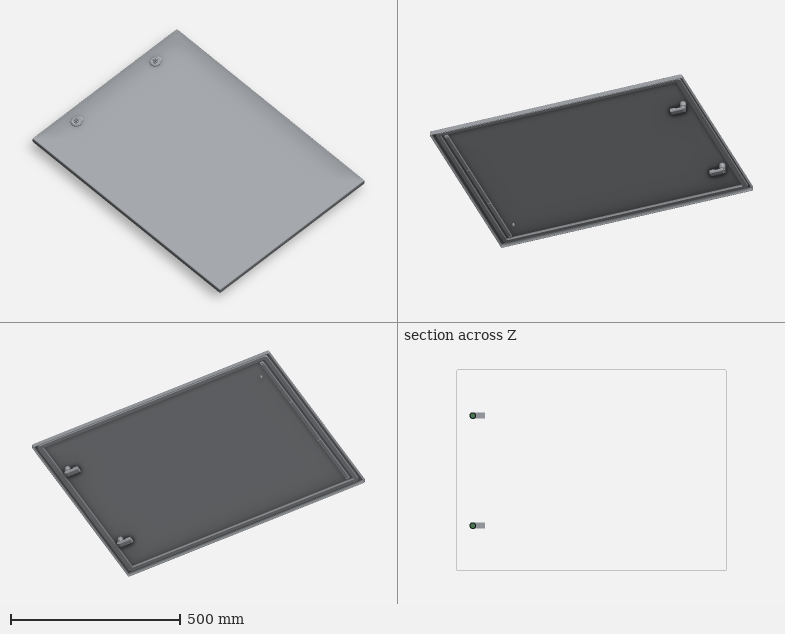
import cadquery as cq
import math

DOOR_LENGTH = 796.5
DOOR_WIDTH = 595.0
DOOR_HEIGHT = 15.0
SHEET = 1.4
BEND_RADIUS = 2.95

GASKET_OUTER_INSET = 10.0
GASKET_HINGE_OUTER_INSET = 13.5
GASKET_INNER_INSET_X = 25.5
GASKET_INNER_INSET_Y = 22.0
GASKET_CORNER_RADIUS = 9.5
GASKET_DEPTH = 8.0

RAIL_INSET = 35.0
RAIL_BAND = 10.0
RAIL_LENGTH = 534.0
RAIL_SLIT_PLACES = (-262.0, -87.0, 87.0, 262.0)
RAIL_SLIT_WIDTH = 1.5
RAIL_DEPTH = 8.0

STUD_X = 329.0
STUD_Y = -215.0
STUD_DIAMETER = 5.8
STUD_LENGTH = 9.5

LOCK_X = -351.0
LOCK_SPACING = 325.0
OVERALL_HEIGHT = 36.0
LOCK_RISE = 5.5

PLATE_DIAMETER = 33.0
PLATE_TIP_DIAMETER = 19.0
PLATE_TIP_REACH = 24.0
PLATE_THICKNESS = 3.0
BOSS_TOP_DIAMETER = 27.0

SEAT_DIAMETER = 19.0
SEAT_DEPTH = 1.5
WELL_DIAMETER = 14.0
WELL_DEPTH = 6.0
CORE_DIAMETER = 9.5
CORE_BORE_DIAMETER = 5.0

BARREL_DIAMETER = 18.0
BARREL_DROP = 11.0
GROOVE_DIAMETER = 16.0
GROOVE_PITCH = 2.8
GROOVE_COUNT = 3

ARM_WIDTH = 17.5
ARM_START = -6.0
ARM_REACH = 37.5
ARM_THICKNESS = 8.0
ARM_CHAMFER = 2.0
ARM_END_CHAMFER = 5.5
HOOK_LENGTH = 16.0
HOOK_RISE = 3.0

SHEET_UNDERSIDE = DOOR_HEIGHT - SHEET
LOCK_TOP = DOOR_HEIGHT + LOCK_RISE
ARM_BOTTOM = LOCK_TOP - OVERALL_HEIGHT


def cylinder(diameter, bottom, top):
    return cq.Workplane("XY").workplane(offset=bottom).circle(diameter / 2).extrude(top - bottom)


def block(x_min, x_max, width, bottom, top):
    """Box centred on Y = 0."""
    return cq.Workplane("XY").box(
        x_max - x_min, width, top - bottom, centered=(False, True, False)
    ).translate((x_min, 0, bottom))


def make_pan():
    outer = cq.Workplane("XY").box(DOOR_LENGTH, DOOR_WIDTH, DOOR_HEIGHT, centered=(True, True, False))
    outer = outer.edges("|Z or >Z").fillet(BEND_RADIUS)
    inner = cq.Workplane("XY").box(
        DOOR_LENGTH - 2 * SHEET, DOOR_WIDTH - 2 * SHEET, SHEET_UNDERSIDE, centered=(True, True, False)
    )
    inner = inner.edges("|Z or >Z").fillet(BEND_RADIUS - SHEET)
    return outer.cut(inner)


def make_rail():
    right = DOOR_LENGTH / 2 - RAIL_INSET
    left = right - RAIL_BAND
    bottom = SHEET_UNDERSIDE - RAIL_DEPTH
    rail = block(left, right, RAIL_LENGTH, bottom, SHEET_UNDERSIDE)
    slit = block(left, right, RAIL_SLIT_WIDTH, bottom, SHEET_UNDERSIDE)
    for place in RAIL_SLIT_PLACES:
        rail = rail.cut(slit.translate((0, place, 0)))
    return rail


def make_gasket():
    left = -DOOR_LENGTH / 2 + GASKET_OUTER_INSET
    right = DOOR_LENGTH / 2 - GASKET_HINGE_OUTER_INSET
    width = DOOR_WIDTH - 2 * GASKET_OUTER_INSET
    bottom = SHEET_UNDERSIDE - GASKET_DEPTH
    outer = block(left, right, width, bottom, SHEET_UNDERSIDE).edges("|Z").fillet(GASKET_CORNER_RADIUS)
    opening_end = DOOR_LENGTH / 2 - GASKET_INNER_INSET_X
    opening_width = DOOR_WIDTH - 2 * GASKET_INNER_INSET_Y
    return outer.cut(block(-opening_end, opening_end, opening_width, bottom, SHEET_UNDERSIDE))


def make_lock_plate():
    plate_top = DOOR_HEIGHT + PLATE_THICKNESS
    plate_radius = PLATE_DIAMETER / 2
    tip_radius = PLATE_TIP_DIAMETER / 2
    tip_y = PLATE_TIP_REACH - tip_radius
    rise = (plate_radius - tip_radius) / tip_y
    run = math.sqrt(1 - rise**2)
    plate = (
        cq.Workplane("XY")
        .workplane(offset=SHEET_UNDERSIDE)
        .moveTo(-plate_radius * run, plate_radius * rise)
        .threePointArc((0, -plate_radius), (plate_radius * run, plate_radius * rise))
        .lineTo(tip_radius * run, tip_y + tip_radius * rise)
        .threePointArc((0, PLATE_TIP_REACH), (-tip_radius * run, tip_y + tip_radius * rise))
        .close()
        .extrude(plate_top - SHEET_UNDERSIDE)
    )
    boss = (
        cq.Workplane("XY")
        .workplane(offset=plate_top)
        .circle(plate_radius)
        .workplane(offset=LOCK_TOP - plate_top)
        .circle(BOSS_TOP_DIAMETER / 2)
        .loft(ruled=True)
    )
    return plate.union(boss)


def make_barrel():
    barrel = cylinder(BARREL_DIAMETER, -BARREL_DROP, DOOR_HEIGHT)
    groove_width = GROOVE_PITCH / 2
    for i in range(GROOVE_COUNT):
        groove_top = -i * GROOVE_PITCH
        ring = cylinder(BARREL_DIAMETER, groove_top - groove_width, groove_top)
        barrel = barrel.cut(ring.cut(cylinder(GROOVE_DIAMETER, groove_top - groove_width, groove_top)))
    return barrel


def make_key_opening():
    """The space to remove from the top of the lock."""
    well_bottom = LOCK_TOP - WELL_DEPTH
    seat_bottom = LOCK_TOP - SEAT_DEPTH
    core = cylinder(CORE_DIAMETER, well_bottom, seat_bottom)
    core = core.cut(cylinder(CORE_BORE_DIAMETER, well_bottom, seat_bottom))
    well = cylinder(WELL_DIAMETER, well_bottom, seat_bottom).cut(core)
    return well.union(cylinder(SEAT_DIAMETER, seat_bottom, LOCK_TOP))


def make_cam_arm():
    arm_top = ARM_BOTTOM + ARM_THICKNESS
    arm = block(ARM_START, ARM_REACH, ARM_WIDTH, ARM_BOTTOM, arm_top)
    arm = arm.faces("<Z").edges("|X").chamfer(ARM_CHAMFER)
    arm = arm.faces("<Z").edges("<X").chamfer(ARM_CHAMFER, ARM_END_CHAMFER)
    hook = block(ARM_REACH - HOOK_LENGTH, ARM_REACH, ARM_WIDTH, arm_top, arm_top + HOOK_RISE)
    return arm.union(hook)


def make_lock():
    lock = make_lock_plate().union(make_barrel()).cut(make_key_opening())
    return lock.union(make_cam_arm())


def make_door():
    """Pan with its rail, earthing stud and both locks in one piece."""
    stud = cylinder(STUD_DIAMETER, SHEET_UNDERSIDE - STUD_LENGTH, SHEET_UNDERSIDE)
    door = make_pan().union(make_rail()).union(stud.translate((STUD_X, STUD_Y, 0)))
    for side in (-1, 1):
        door = door.union(make_lock().translate((LOCK_X, side * LOCK_SPACING / 2, 0)))
    return door


door = make_door()
gasket = make_gasket()
result = cq.Compound.makeCompound([door.val(), gasket.val()])